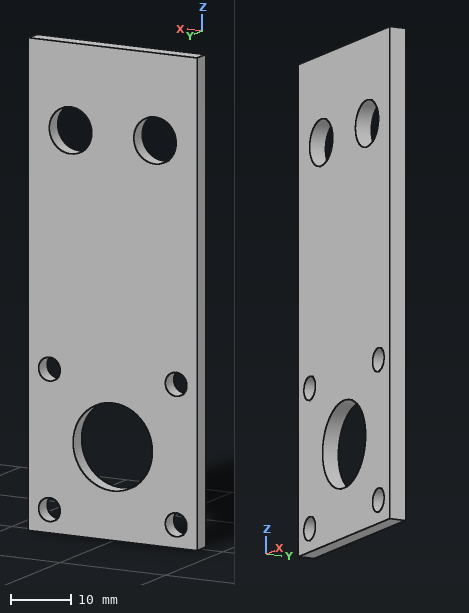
import cadquery as cq

width = 32.0
thickness = 3.0
height = 84.2

bore_diameter = 15.0
bore_height = width / 2

screw_diameter = 4.0
screw_spacing = 24.0

mount_diameter = 8.0
mount_spacing = width / 2
mount_top_margin = 15.0
mount_height = height - mount_top_margin


def through_holes(diameter, positions):
    """Cylinders along Y that pass through the plate at the given (x, z) positions."""
    return (
        cq.Workplane("XZ", origin=(0, thickness / 2, 0))
        .pushPoints(positions)
        .circle(diameter / 2)
        .extrude(thickness)
    )


plate = cq.Workplane("XY").box(width, thickness, height, centered=(True, True, False))

bore_position = [(0, bore_height)]
screw_positions = [
    (x_side * screw_spacing / 2, bore_height + z_side * screw_spacing / 2)
    for x_side in (-1, 1)
    for z_side in (-1, 1)
]
mount_positions = [(side * mount_spacing / 2, mount_height) for side in (-1, 1)]

result = (
    plate
    .cut(through_holes(bore_diameter, bore_position))
    .cut(through_holes(screw_diameter, screw_positions))
    .cut(through_holes(mount_diameter, mount_positions))
)